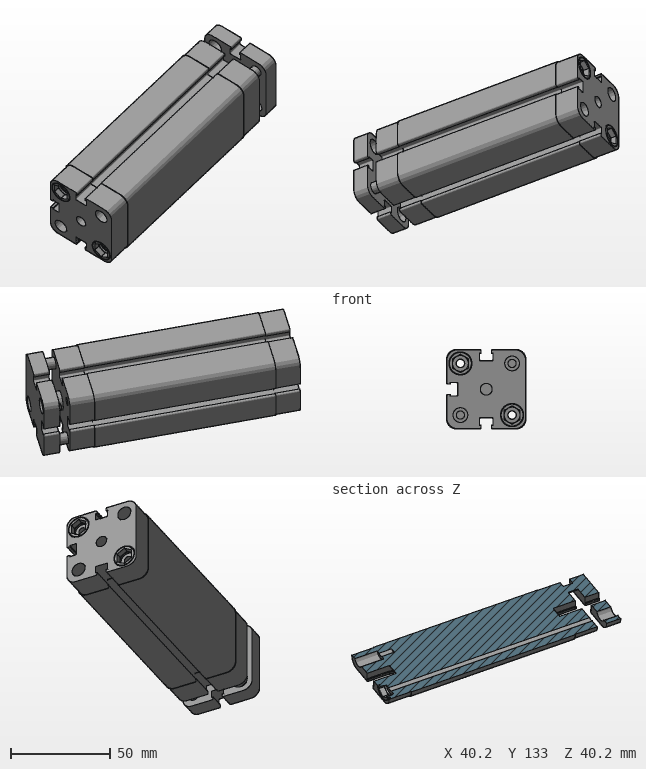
import cadquery as cq
import math


total_length = 133.0
cap_length = 12.8
plate_length = 8.1
plate_gap = 5.3
body_length = total_length - 2 * cap_length - plate_length - plate_gap

front_y = -total_length / 2
body_y = front_y + cap_length
rear_cap_y = body_y + body_length
rear_cap_end_y = rear_cap_y + cap_length
plate_y = rear_cap_end_y + plate_gap

body_size = 40.2
cap_size = 39.6
corner_radius = 5.0

slot_depth = 5.5
slot_width = 6.8
mouth_width = 5.2
lip_height = 1.7
mouth_radius = (slot_width - mouth_width) / 2
floor_radius = 0.4

rod_diameter = 10.0
rod_flat_width = 8.0
rod_flat_length = 3.5
rod_taper_length = 1.3
rod_taper_depth = 0.2

pin_diameter = 6.0
pin_offset = 13.5

screw_offset = 13.0
screw_bore_diameter = 4.1
screw_head_diameter = 11.0
screw_recess_diameter = 11.7
screw_recess_depth = 1.3
socket_across_flats = 8.1
socket_depth = 3.0
socket_bore_diameter = 8.0
socket_bore_depth = 4.1
mount_hole_diameter = 7.5
mount_thread_depth = 20.0
center_hole_diameter = 6.0
center_hole_depth = 10.6
plate_hole_diameter = 8.0

screw_corners = [(-1, 1), (1, -1)]
pin_corners = [(1, 1), (-1, -1)]


def section_plane(y, x=0.0, z=0.0):
    """Plane across the part at position y, with its normal along +Y."""
    return cq.Workplane(cq.Plane(origin=(x, y, z), xDir=(1, 0, 0), normal=(0, 1, 0)))


def cylinder(diameter, y_start, length, x=0.0, z=0.0):
    return section_plane(y_start, x, z).circle(diameter / 2).extrude(length)


def corner_points(corners, offset):
    return [(x_sign * offset, z_sign * offset) for x_sign, z_sign in corners]


def slot_cutter(half_size, y_start, length):
    """T-slot with a rounded mouth and floor corners, opening at distance half_size on +Z."""
    lip_bottom = half_size - lip_height
    floor = half_size - slot_depth
    half_slot = slot_width / 2
    half_mouth = mouth_width / 2
    outline = (
        cq.Workplane("XZ", origin=(0, y_start, 0))
        .moveTo(0, half_size)
        .lineTo(half_slot, half_size)
        .radiusArc((half_mouth, half_size - mouth_radius), -mouth_radius)
        .lineTo(half_mouth, lip_bottom)
        .lineTo(half_slot, lip_bottom)
        .lineTo(half_slot, floor + floor_radius)
        .radiusArc((half_slot - floor_radius, floor), floor_radius)
        .lineTo(0, floor)
        .close()
    )
    half_cutter = outline.extrude(-length)
    return half_cutter.union(half_cutter.mirror("YZ")).clean()


def slotted_block(size, y_start, length):
    """Rounded square bar with a slot on the +Z, -X and -Z sides."""
    block = section_plane(y_start).rect(size, size).extrude(length)
    block = block.edges("|Y").fillet(corner_radius)
    slot = slot_cutter(size / 2, y_start, length)
    for angle in (0, -90, 180):
        block = block.cut(slot.rotate((0, 0, 0), (0, 1, 0), angle))
    return block


def piston_rod():
    """Round rod across the gap, tapered at the plate, with flats on its -X and +X sides."""
    radius = rod_diameter / 2
    flat_x = rod_flat_width / 2
    run_out = radius - flat_x
    taper_y = plate_y - rod_taper_length
    outline = [
        (0, rear_cap_end_y),
        (radius, rear_cap_end_y),
        (radius, taper_y),
        (radius - rod_taper_depth, plate_y),
        (0, plate_y),
    ]
    rod = cq.Workplane("XY").polyline(outline).close().revolve(360, (0, 0, 0), (0, 1, 0))
    flat_y = plate_y - rod_flat_length
    flat_cut = (
        cq.Workplane("XY")
        .polyline([(flat_x, plate_y), (flat_x, flat_y), (radius, flat_y - run_out), (radius, plate_y)])
        .close()
        .extrude(radius, both=True)
    )
    return rod.cut(flat_cut).cut(flat_cut.mirror("YZ"))


def screw_cutter(x, z):
    """Long bore with a hexagon socket, a round relief below it and a ring gap around the screw head."""
    hexagon_sides = 6
    corner_diameter = socket_across_flats / math.cos(math.pi / hexagon_sides)
    bore = cylinder(screw_bore_diameter, front_y, rear_cap_end_y - front_y, x, z)
    socket = section_plane(front_y, x, z).polygon(hexagon_sides, corner_diameter).extrude(socket_depth)
    socket = socket.rotate((x, 0, z), (x, 1, z), 180 / hexagon_sides)
    socket_bore = cylinder(socket_bore_diameter, front_y, socket_bore_depth, x, z)
    ring = (
        section_plane(front_y, x, z)
        .circle(screw_recess_diameter / 2)
        .circle(screw_head_diameter / 2)
        .extrude(screw_recess_depth)
    )
    return bore.union(socket).union(socket_bore).union(ring)


def mount_hole_cutter(x, z):
    """Stepped blind hole, wide through the front cap and narrow beyond it."""
    wide = cylinder(mount_hole_diameter, front_y, cap_length, x, z)
    narrow = cylinder(screw_bore_diameter, front_y, mount_thread_depth, x, z)
    return wide.union(narrow)


result = slotted_block(body_size, body_y, body_length)
result = result.union(slotted_block(cap_size, front_y, cap_length))
result = result.union(slotted_block(cap_size, rear_cap_y, cap_length))
result = result.union(slotted_block(cap_size, plate_y, plate_length))

result = result.union(piston_rod())
for pin_x, pin_z in corner_points(pin_corners, pin_offset):
    result = result.union(cylinder(pin_diameter, rear_cap_end_y, plate_gap, pin_x, pin_z))

for screw_x, screw_z in corner_points(screw_corners, screw_offset):
    result = result.cut(screw_cutter(screw_x, screw_z))
    result = result.cut(cylinder(plate_hole_diameter, plate_y, plate_length, screw_x, screw_z))

for hole_x, hole_z in corner_points(pin_corners, screw_offset):
    result = result.cut(mount_hole_cutter(hole_x, hole_z))
result = result.cut(cylinder(center_hole_diameter, front_y, center_hole_depth))